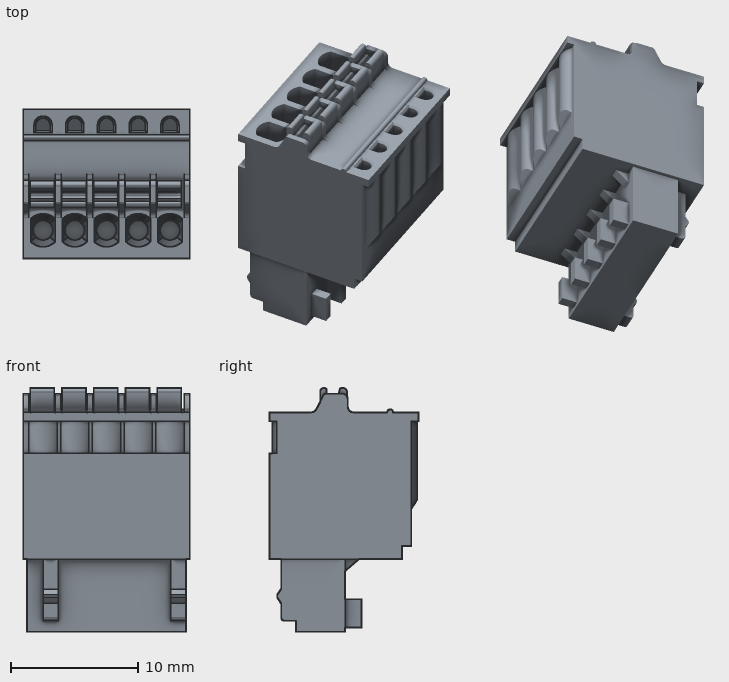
import cadquery as cq
import math


pole_count = 5
pitch = 2.5
pole_xs = [(i - (pole_count - 1) / 2) * pitch for i in range(pole_count)]

width = 13.1
depth = 11.75
height = 19.2
housing_bottom = 5.72
deck_z = 17.28
deck_thickness = 0.71
deck_bottom = deck_z - deck_thickness
back_y = 11.17
back_step_y = 10.45
back_step_z = 6.75

recess_bottom = 14.05
recess_depth = 0.6
front_bulge_width = 2.2
front_bulge_rise = 0.38

back_bulge_width = 2.2
back_bulge_rise = 0.48
back_bulge_bottom = 9.7
back_bulge_taper = 0.75

ridge_front_y = 9.27
ridge_width = 0.46
ridge_height = 0.23
ridge_fillet = 0.21

wall_z = 18.74
wall_back_y = 6.18
wall_back_fillet = 0.45
wall_front_base_y = 3.57
wall_front_tilt = 27.0
wall_front_base_fillet = 0.5
wall_front_top_fillet = 0.21
mid_wall_width = 0.46
end_wall_width = 0.45

lever_shift = -0.05
lever_width = 1.92
lever_front_y = 4.0
lever_back_y = 6.12
back_prong_tip_y = 5.57
back_prong_outer_fillet = 0.36
back_prong_inner_fillet = 0.2
front_prong_back_y = 4.51
front_prong_outer_fillet = 0.3
front_prong_inner_fillet = 0.2
trough_y = 5.16
trough_z = 17.72
trough_fillet = 0.15
ledge_y = 4.72
ledge_z = 18.24

funnel_y = 2.23
funnel_radius = 1.3
funnel_width = 1.95
funnel_floor_diameter = 1.54
funnel_straight_depth = 2.3
funnel_narrowing_depth = 0.58

test_width = 1.42
test_front_y = 9.89
test_arc_y = 10.5
test_bevel = 0.15
test_depth = 3.84

plug_width = 12.52
plug_front_y = 2.1
plug_back_y = 5.97

latch_width = 1.2
latch_lefts = [pole_xs[0], plug_width / 2 - latch_width]
latch_front_y = 0.92
latch_bottom = 0.88
latch_toe = 0.27
hook_tip_y = 0.61
hook_top = 3.38
hook_tip_top = 2.92
hook_tip_bottom = 2.73
hook_bottom = 2.25

rib_width = 0.73
rib_back_y = 7.25
rib_bottom = 0.35
rib_top = 2.6
gusset_back_y = 7.05
gusset_bottom = 4.8


def box(x0, x1, y0, y1, z0, z1):
    return cq.Workplane("XY").box(x1 - x0, y1 - y0, z1 - z0, centered=False).translate((x0, y0, z0))


def extrude_across(profile, x0, x1):
    """Extrude a closed YZ profile from x0 to x1."""
    return profile.extrude(x1 - x0).translate((x0, 0, 0))


def side_sketch(points):
    return cq.Workplane("YZ").polyline(points).close()


def make_housing():
    outline = [
        (0, housing_bottom),
        (back_step_y, housing_bottom),
        (back_step_y, back_step_z),
        (back_y, back_step_z),
        (back_y, deck_bottom),
        (depth, deck_bottom),
        (depth, deck_z),
        (0, deck_z),
        (0, deck_bottom),
        (recess_depth, deck_bottom),
        (recess_depth, recess_bottom),
        (0, recess_bottom),
    ]
    return extrude_across(side_sketch(outline), -width / 2, width / 2)


def make_bulge(x, y, bulge_width, rise, z0, z1):
    """Shallow cylinder segment standing on the face at y; a negative rise points forward."""
    segment = (
        cq.Workplane("XY", origin=(x, y, z0))
        .moveTo(-bulge_width / 2, 0)
        .threePointArc((0, rise), (bulge_width / 2, 0))
        .close()
    )
    return segment.extrude(z1 - z0)


def make_back_bulge(x):
    bulge = make_bulge(x, back_y, back_bulge_width, back_bulge_rise, back_bulge_bottom, deck_bottom)
    taper = side_sketch([
        (back_y, back_bulge_bottom),
        (back_y + back_bulge_rise, back_bulge_bottom + back_bulge_taper),
        (back_y + back_bulge_rise, back_bulge_bottom),
    ])
    return bulge.cut(extrude_across(taper, x - back_bulge_width / 2, x + back_bulge_width / 2))


def make_ridge():
    ridge_back_y = ridge_front_y + ridge_width
    ridge = box(-width / 2, width / 2, ridge_front_y, ridge_back_y, deck_z, deck_z + ridge_height)
    return ridge.edges("|X and >Z").fillet(ridge_fillet)


def fillet_corners(solid, x, corners):
    """Round the edges along X nearest to the given (y, z, radius) corners; x is mid-edge."""
    for y, z, radius in corners:
        solid = solid.edges("|X").edges(cq.NearestToPointSelector((x, y, z))).fillet(radius)
    return solid


def make_wall(x0, x1):
    """Partition with a rounded back, a sloping front and swept roots on the deck."""
    wall_top_y = wall_front_base_y + (wall_z - deck_z) * math.tan(math.radians(wall_front_tilt))
    front_root_y = wall_front_base_y - 2 * wall_front_base_fillet
    back_root_y = wall_back_y + 2 * wall_back_fillet
    base_z = deck_z - deck_thickness / 2
    outline = [
        (front_root_y, base_z),
        (back_root_y, base_z),
        (back_root_y, deck_z),
        (wall_back_y, deck_z),
        (wall_back_y, wall_z),
        (wall_top_y, wall_z),
        (wall_front_base_y, deck_z),
        (front_root_y, deck_z),
    ]
    wall = extrude_across(side_sketch(outline), x0, x1)
    return fillet_corners(wall, (x0 + x1) / 2, [
        (wall_back_y, deck_z, wall_back_fillet),
        (wall_back_y, wall_z, wall_back_fillet),
        (wall_top_y, wall_z, wall_front_top_fillet),
        (wall_front_base_y, deck_z, wall_front_base_fillet),
    ])


def make_lever(x):
    """Lever with two rounded prongs and a trough between them."""
    outline = [
        (lever_front_y, deck_z),
        (lever_front_y, height),
        (front_prong_back_y, height),
        (front_prong_back_y, ledge_z),
        (ledge_y, ledge_z),
        (trough_y, trough_z),
        (back_prong_tip_y, height),
        (lever_back_y, height),
        (lever_back_y, deck_z),
    ]
    lever = extrude_across(side_sketch(outline), x - lever_width / 2, x + lever_width / 2)
    return fillet_corners(lever, x, [
        (lever_front_y, height, front_prong_outer_fillet),
        (front_prong_back_y, height, front_prong_inner_fillet),
        (trough_y, trough_z, trough_fillet),
        (back_prong_tip_y, height, back_prong_inner_fillet),
        (lever_back_y, height, back_prong_outer_fillet),
    ])


def make_funnel(x):
    """Flat-sided round well whose lower end narrows to a round floor."""
    half_width = funnel_width / 2
    flat_half = math.sqrt(funnel_radius**2 - half_width**2)
    floor_radius = funnel_floor_diameter / 2
    floor_corner = floor_radius * math.sqrt(0.5)

    def mouth_at(z):
        return (
            cq.Workplane("XY", origin=(x, funnel_y, z))
            .moveTo(half_width, -flat_half)
            .lineTo(half_width, flat_half)
            .threePointArc((0, funnel_radius), (-half_width, flat_half))
            .lineTo(-half_width, -flat_half)
            .threePointArc((0, -funnel_radius), (half_width, -flat_half))
            .close()
        )

    well = mouth_at(deck_z).extrude(-funnel_straight_depth)
    narrowing = (
        mouth_at(deck_z - funnel_straight_depth)
        .workplane(offset=-funnel_narrowing_depth)
        .moveTo(floor_corner, -floor_corner)
        .threePointArc((floor_radius, 0), (floor_corner, floor_corner))
        .threePointArc((0, floor_radius), (-floor_corner, floor_corner))
        .threePointArc((-floor_radius, 0), (-floor_corner, -floor_corner))
        .threePointArc((0, -floor_radius), (floor_corner, -floor_corner))
        .close()
        .loft(ruled=True)
    )
    return well.union(narrowing)


def make_d_pocket(x, inset, pocket_depth, taper=0):
    """Pocket below the deck with a straight front side and a half-round back."""
    half_width = test_width / 2 - inset
    outline = (
        cq.Workplane("XY", origin=(x, 0, deck_z))
        .moveTo(-half_width, test_front_y + inset)
        .lineTo(half_width, test_front_y + inset)
        .lineTo(half_width, test_arc_y)
        .threePointArc((0, test_arc_y + half_width), (-half_width, test_arc_y))
        .close()
    )
    return outline.extrude(-pocket_depth, taper=taper)


def make_test_opening(x):
    """D-shaped opening with a bevelled rim."""
    rim = make_d_pocket(x, 0, test_bevel, taper=45)
    return rim.union(make_d_pocket(x, test_bevel, test_depth))


def make_latch(x0):
    outline = [
        (plug_front_y, housing_bottom),
        (plug_front_y, latch_bottom),
        (latch_front_y, latch_bottom),
        (latch_front_y, hook_bottom),
        (hook_tip_y, hook_tip_bottom),
        (hook_tip_y, hook_tip_top),
        (latch_front_y, hook_top),
        (latch_front_y, housing_bottom),
    ]
    latch = extrude_across(side_sketch(outline), x0, x0 + latch_width)
    return fillet_corners(latch, x0 + latch_width / 2, [(latch_front_y, latch_bottom, latch_toe)])


def make_rib(x):
    x0 = x - rib_width / 2
    x1 = x + rib_width / 2
    gusset = side_sketch([
        (plug_back_y, gusset_bottom),
        (gusset_back_y, housing_bottom),
        (plug_back_y, housing_bottom),
    ])
    rib = box(x0, x1, plug_back_y, rib_back_y, rib_bottom, rib_top)
    return rib.union(extrude_across(gusset, x0, x1))


result = make_housing().union(
    box(-plug_width / 2, plug_width / 2, plug_front_y, plug_back_y, 0, housing_bottom)
)
result = result.union(make_ridge())

for pole_x in pole_xs:
    result = result.union(
        make_bulge(pole_x, recess_depth, front_bulge_width, -front_bulge_rise, recess_bottom, deck_bottom)
    )
    result = result.union(make_back_bulge(pole_x))
    result = result.union(make_rib(pole_x))
    result = result.union(make_lever(pole_x + lever_shift))

result = result.union(make_wall(-width / 2, -width / 2 + end_wall_width))
result = result.union(make_wall(width / 2 - end_wall_width, width / 2))
for pole_x in pole_xs[:-1]:
    wall_x = pole_x + pitch / 2 + lever_shift
    result = result.union(make_wall(wall_x - mid_wall_width / 2, wall_x + mid_wall_width / 2))

for latch_x in latch_lefts:
    result = result.union(make_latch(latch_x))

for pole_x in pole_xs:
    result = result.cut(make_funnel(pole_x))
    result = result.cut(make_test_opening(pole_x))